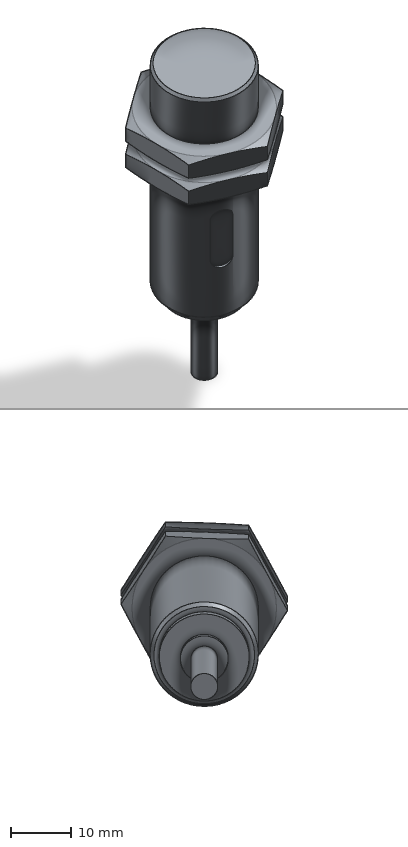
import cadquery as cq
import math

total_height = 70.0

barrel_diameter = 18.0
barrel_length = 50.0
front_chamfer = 0.5
rear_chamfer = 0.6

cap_diameter = 15.0
cap_length = 1.55
collar_diameter = 8.0
collar_length = 1.0
cable_diameter = 4.5

nut_across_flats = 24.0
nut_thickness = 4.0
nut_chamfer_angle = 15.0
first_nut_depth = 10.0
nut_pitch = 5.95

window_width = 4.0
window_length = 13.0
window_depth = 0.5
window_center_depth = 32.0

barrel_bottom = total_height - barrel_length
cap_bottom = barrel_bottom - cap_length
collar_bottom = cap_bottom - collar_length


def cylinder(diameter, bottom, top):
    return cq.Workplane("XY").workplane(offset=bottom).circle(diameter / 2).extrude(top - bottom)


def make_barrel():
    barrel = cylinder(barrel_diameter, barrel_bottom, total_height)
    barrel = barrel.faces(">Z").chamfer(front_chamfer)
    return barrel.faces("<Z").chamfer(rear_chamfer)


def make_window_cutter():
    return (
        cq.Workplane("YZ")
        .workplane(offset=barrel_diameter / 2 - window_depth)
        .center(0, total_height - window_center_depth)
        .slot2D(window_length, window_width, 90)
        .extrude(barrel_diameter / 2)
    )


def make_nut(bottom):
    """Hexagon with corners on Y, its corners turned down conically on both faces."""
    flat_radius = nut_across_flats / 2
    corner_radius = flat_radius / math.cos(math.radians(30))
    corner_drop = (corner_radius - flat_radius) * math.tan(math.radians(nut_chamfer_angle))
    top = bottom + nut_thickness
    hexagon = (
        cq.Workplane("XY")
        .workplane(offset=bottom)
        .transformed(rotate=(0, 0, 90))
        .polygon(6, 2 * corner_radius)
        .extrude(nut_thickness)
    )
    turned_blank = (
        cq.Workplane("XZ")
        .moveTo(0, bottom)
        .lineTo(flat_radius, bottom)
        .lineTo(corner_radius, bottom + corner_drop)
        .lineTo(corner_radius, top - corner_drop)
        .lineTo(flat_radius, top)
        .lineTo(0, top)
        .close()
        .revolve(360, (0, 0, 0), (0, 1, 0))
    )
    return hexagon.intersect(turned_blank)


result = make_barrel().cut(make_window_cutter())
result = result.union(cylinder(cap_diameter, cap_bottom, barrel_bottom))
result = result.union(cylinder(collar_diameter, collar_bottom, cap_bottom))
result = result.union(cylinder(cable_diameter, 0, collar_bottom))

for nut_index in range(2):
    nut_top = total_height - first_nut_depth - nut_index * nut_pitch
    result = result.union(make_nut(nut_top - nut_thickness))